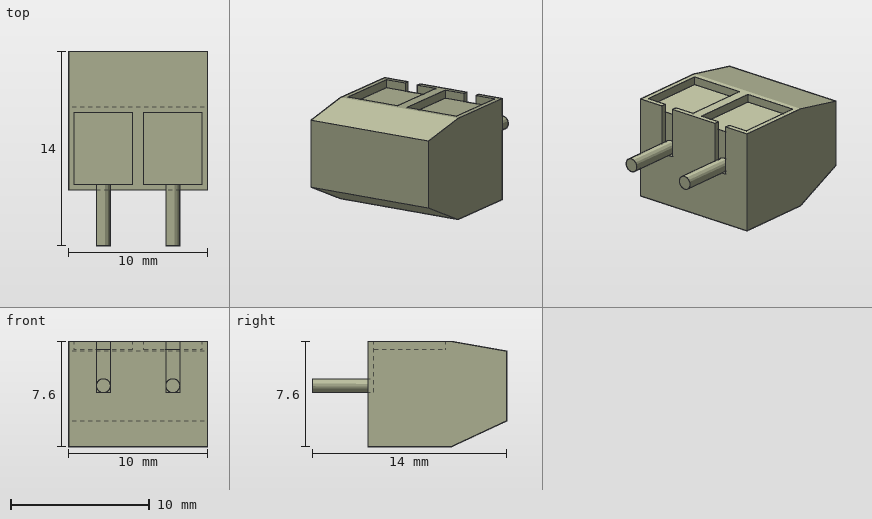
import cadquery as cq
import math

width = 10.0
length = 10.0
height = 7.6
slope_length = 4.0
top_slope_angle = 10.0
bottom_slope_angle = 25.0

pole_count = 2
pole_pitch = width / pole_count
wall = 0.4
pocket_depth = 0.6

pin_diameter = 1.0
pin_protrusion = 4.0
pin_height = 4.4

front_y = -length / 2
rear_y = length / 2
slope_start_y = rear_y - slope_length
top_drop = slope_length * math.tan(math.radians(top_slope_angle))
bottom_rise = slope_length * math.tan(math.radians(bottom_slope_angle))
pole_xs = [(i - (pole_count - 1) / 2) * pole_pitch for i in range(pole_count)]
pin_seat_y = front_y + wall
slot_floor_z = pin_height - pin_diameter / 2


def make_block():
    """Side profile with both rear slopes, extruded across the width."""
    profile = [
        (front_y, 0),
        (slope_start_y, 0),
        (rear_y, bottom_rise),
        (rear_y, height - top_drop),
        (slope_start_y, height),
        (front_y, height),
    ]
    return cq.Workplane("YZ").polyline(profile).close().extrude(width / 2, both=True)


def make_pocket(x):
    """Shallow rectangular recess in the flat top of one pole."""
    pocket_width = pole_pitch - 2 * wall
    pocket_length = slope_start_y - front_y - 2 * wall
    return (
        cq.Workplane("XY")
        .box(pocket_width, pocket_length, pocket_depth, centered=(True, False, False))
        .translate((x, front_y + wall, height - pocket_depth))
    )


def make_slot(x):
    """Slot through the front wall, open at the top, that the pin sits in."""
    return (
        cq.Workplane("XY")
        .box(pin_diameter, wall, height - slot_floor_z, centered=(True, False, False))
        .translate((x, front_y, slot_floor_z))
    )


def make_housing():
    housing = make_block()
    for x in pole_xs:
        housing = housing.cut(make_pocket(x)).cut(make_slot(x))
    return housing


def make_pin(x):
    """Round pin running forward from the back of its slot."""
    return (
        cq.Workplane("XZ", origin=(x, pin_seat_y, pin_height))
        .circle(pin_diameter / 2)
        .extrude(wall + pin_protrusion)
    )


housing = make_housing()
pins = [make_pin(x) for x in pole_xs]

result = cq.Compound.makeCompound([housing.val(), *[pin.val() for pin in pins]])